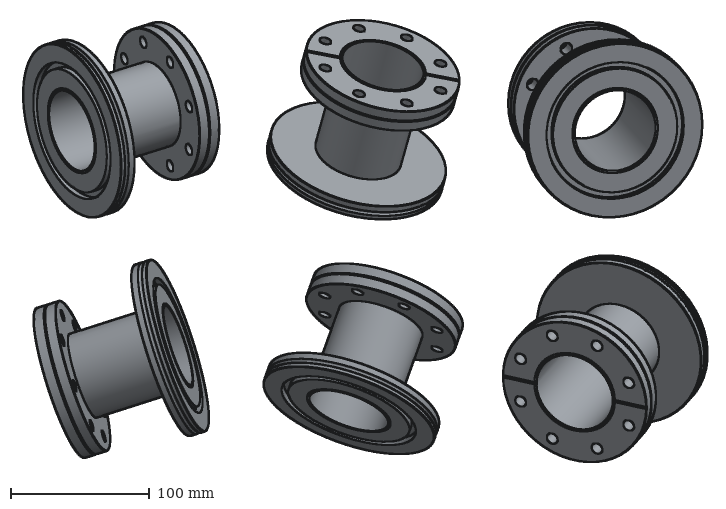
import cadquery as cq
import math

total_length = 90.0
axis_start = -total_length / 2
axis_end = total_length / 2
edge_chamfer = 0.4

bore_diameter = 60.0
tube_diameter = 63.5

clamp_flange_diameter = 129.9
clamp_flange_thickness = 12.0
clamp_groove_radius = 1.5
clamp_groove_offset = 5.1
seal_groove_inner_diameter = 92.2
seal_groove_outer_diameter = 102.0
seal_groove_depth = 5.1

bolt_flange_diameter = 113.5
bolt_flange_thickness = 17.3
rim_groove_diameter = 113.0
rim_groove_width = 1.2
bolt_count = 8
bolt_hole_diameter = 8.5
bolt_circle_diameter = 92.2
first_bolt_angle = 180 / bolt_count

leak_groove_radius = 0.8


def disc(diameter, start, length):
    """Solid cylinder about the Y axis, from Y = start towards +Y."""
    plane = cq.Plane(origin=(0, start, 0), xDir=(1, 0, 0), normal=(0, 1, 0))
    return cq.Workplane(plane).circle(diameter / 2).extrude(length)


def ring(outer_diameter, inner_diameter, start, length):
    """Hollow cylinder about the Y axis, from Y = start towards +Y."""
    return disc(outer_diameter, start, length).cut(disc(inner_diameter, start, length))


def flange_blank(diameter, start, thickness):
    """Disc with chamfered rims and a hole that fits the tube."""
    blank = disc(diameter, start, thickness).edges().chamfer(edge_chamfer)
    return blank.cut(disc(tube_diameter, start, thickness))


def leak_groove_cutter():
    """Rod along X, centred on the +Y end face, that leaves a half-round groove."""
    return (
        cq.Workplane("YZ")
        .center(axis_end, 0)
        .circle(leak_groove_radius)
        .extrude(bolt_flange_diameter / 2, both=True)
    )


def make_tube():
    tube = ring(tube_diameter, bore_diameter, axis_start, total_length)
    return tube.cut(leak_groove_cutter())


def make_clamp_flange():
    flange = flange_blank(clamp_flange_diameter, axis_start, clamp_flange_thickness)

    groove = cq.Solid.makeTorus(
        clamp_flange_diameter / 2,
        clamp_groove_radius,
        cq.Vector(0, axis_start + clamp_groove_offset, 0),
        cq.Vector(0, 1, 0),
    )
    flange = flange.cut(cq.Workplane(groove))

    seal_groove = ring(
        seal_groove_outer_diameter, seal_groove_inner_diameter, axis_start, seal_groove_depth
    )
    return flange.cut(seal_groove)


def make_bolt_flange():
    start = axis_end - bolt_flange_thickness
    flange = flange_blank(bolt_flange_diameter, start, bolt_flange_thickness)

    middle = axis_end - bolt_flange_thickness / 2
    rim_groove = (
        cq.Workplane("XY")
        .moveTo(bolt_flange_diameter / 2, middle - rim_groove_width / 2)
        .lineTo(rim_groove_diameter / 2, middle)
        .lineTo(bolt_flange_diameter / 2, middle + rim_groove_width / 2)
        .close()
        .revolve(360, (0, 0, 0), (0, 1, 0))
    )
    flange = flange.cut(rim_groove)

    for index in range(bolt_count):
        angle = math.radians(first_bolt_angle + index * 360 / bolt_count)
        x = bolt_circle_diameter / 2 * math.cos(angle)
        z = bolt_circle_diameter / 2 * math.sin(angle)
        hole = disc(bolt_hole_diameter, start, bolt_flange_thickness).translate((x, 0, z))
        flange = flange.cut(hole)
    return flange.cut(leak_groove_cutter())


clamp_flange = make_clamp_flange()
tube = make_tube()
bolt_flange = make_bolt_flange()

result = cq.Compound.makeCompound([clamp_flange.val(), tube.val(), bolt_flange.val()])